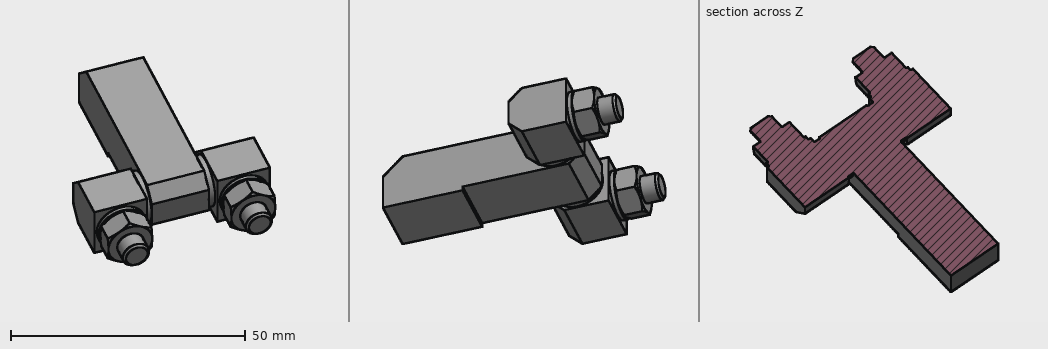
import cadquery as cq
import math

overall_length = 56.0
overall_width = 40.0
overall_height = 13.0

bar_length = 45.0
bar_width = 13.0
nose_chamfer = 4.5
foot_length = 18.0
foot_step = 1.0
edge_chamfer = 3.0

block_start = 33.0
block_length = 13.0
block_width = 12.0
block_height = overall_height - foot_step
block_end = block_start + block_length
block_center_y = (overall_width - block_width) / 2
axis_z = foot_step + block_height / 2

pin_diameter = 11.5
pin_x = bar_length - block_height / 2
pin_length = 2 * block_center_y

washer_diameter = 10.9
washer_thickness = 1.0
nut_sides = 6
nut_across_flats = 10.0
nut_across_corners = nut_across_flats / math.cos(math.pi / nut_sides)
nut_thickness = 5.0
nut_chamfer_angle = math.radians(30)
nut_chamfer_length = (nut_across_corners - nut_across_flats) / 2 * math.tan(nut_chamfer_angle)
stud_diameter = 6.0
stud_tip_diameter = 4.92
stud_tip_length = (stud_diameter - stud_tip_diameter) / 2

nut_start = block_end + washer_thickness
nut_end = nut_start + nut_thickness


def make_bar():
    """Bar with a sloped nose, a stepped foot and bevelled rear edges."""
    outline = [
        (0, 0),
        (foot_length, 0),
        (foot_length, foot_step),
        (bar_length - edge_chamfer, foot_step),
        (bar_length, foot_step + edge_chamfer),
        (bar_length, overall_height - edge_chamfer),
        (bar_length - edge_chamfer, overall_height),
        (nose_chamfer, overall_height),
        (0, overall_height - nose_chamfer),
    ]
    return cq.Workplane("XZ").polyline(outline).close().extrude(bar_width / 2, both=True)


def make_pin():
    """Round pin along Y, through the bar and into both blocks."""
    return (
        cq.Workplane("XZ")
        .center(pin_x, axis_z)
        .circle(pin_diameter / 2)
        .extrude(pin_length / 2, both=True)
    )


def make_block(center_y):
    """Block with its two nose-side edges bevelled."""
    return (
        cq.Workplane("XY")
        .box(block_length, block_width, block_height)
        .edges("<X and |Y")
        .chamfer(edge_chamfer)
        .translate((block_start + block_length / 2, center_y, axis_z))
    )


def cross_plane(x, center_y):
    """Plane square to X, centred on a stud axis."""
    return cq.Workplane("YZ", origin=(x, center_y, axis_z))


def turned_solid(outline, center_y):
    """Solid of revolution about a stud axis from (x, radius) points."""
    return (
        cq.Workplane("XY", origin=(0, center_y, axis_z))
        .polyline(outline)
        .close()
        .revolve(360, (0, 0, 0), (1, 0, 0))
    )


def make_nut(center_y):
    """Hexagon nut with corners up and down, its corners coned off at both ends."""
    hexagon = (
        cross_plane(nut_start, center_y)
        .transformed(rotate=(0, 0, 90))
        .polygon(nut_sides, nut_across_corners)
        .extrude(nut_thickness)
    )
    corner_cones = turned_solid(
        [
            (nut_start, 0),
            (nut_start, nut_across_flats / 2),
            (nut_start + nut_chamfer_length, nut_across_corners / 2),
            (nut_end - nut_chamfer_length, nut_across_corners / 2),
            (nut_end, nut_across_flats / 2),
            (nut_end, 0),
        ],
        center_y,
    )
    return hexagon.intersect(corner_cones)


def make_stud(center_y):
    """Stud rooted in the block face, with a tapered tip."""
    return turned_solid(
        [
            (block_end, 0),
            (block_end, stud_diameter / 2),
            (overall_length - stud_tip_length, stud_diameter / 2),
            (overall_length, stud_tip_diameter / 2),
            (overall_length, 0),
        ],
        center_y,
    )


def make_washer(center_y):
    """Plain washer between block and nut."""
    return cross_plane(block_end, center_y).circle(washer_diameter / 2).extrude(washer_thickness)


result = make_bar().union(make_pin())
for side_y in (-block_center_y, block_center_y):
    for make_piece in (make_block, make_washer, make_stud, make_nut):
        result = result.union(make_piece(side_y))